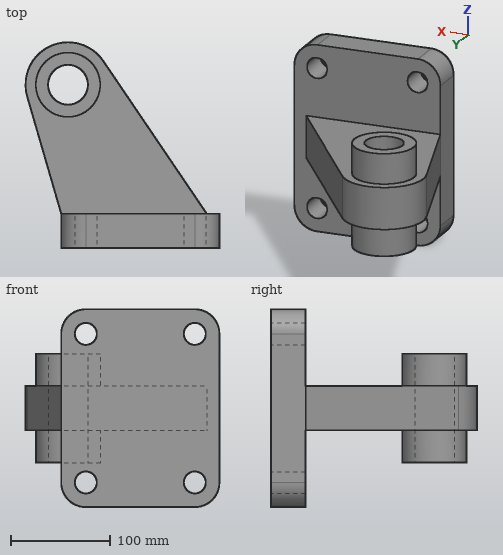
import math

import cadquery as cq

plate_width = 160.0
plate_height = 200.0
plate_thickness = 35.0
corner_radius = 25.0
bolt_hole_diameter = 22.0
bolt_inset = corner_radius

pivot_x = 7.0
pivot_y = 165.0
boss_diameter = 65.0
boss_length = 110.0
bore_diameter = 40.0

arm_thickness = 45.0
eye_radius = 43.0
arm_root_left = 0.0
arm_root_right = 147.0


def tangent_point(root_x, side):
    """Point where the line from the arm root touches the eye (side -1: left, +1: right)."""
    run = root_x - pivot_x
    drop = plate_thickness - pivot_y
    distance = math.hypot(run, drop)
    angle = math.atan2(drop, run) + side * math.acos(eye_radius / distance)
    return (pivot_x + eye_radius * math.cos(angle), pivot_y + eye_radius * math.sin(angle))


def make_plate():
    plate = (
        cq.Workplane("XZ")
        .center(plate_width / 2, 0)
        .rect(plate_width, plate_height)
        .extrude(-plate_thickness)
        .edges("|Y")
        .fillet(corner_radius)
    )
    bolt_holes = (
        cq.Workplane("XZ")
        .center(plate_width / 2, 0)
        .rect(plate_width - 2 * bolt_inset, plate_height - 2 * bolt_inset, forConstruction=True)
        .vertices()
        .circle(bolt_hole_diameter / 2)
        .extrude(-plate_thickness)
    )
    return plate.cut(bolt_holes)


def make_arm():
    return (
        cq.Workplane("XY")
        .workplane(offset=-arm_thickness / 2)
        .moveTo(arm_root_left, plate_thickness)
        .lineTo(arm_root_right, plate_thickness)
        .lineTo(*tangent_point(arm_root_right, 1))
        .threePointArc((pivot_x, pivot_y + eye_radius), tangent_point(arm_root_left, -1))
        .close()
        .extrude(arm_thickness)
    )


def pivot_cylinder(diameter):
    """Cylinder on the pivot axis, as long as the boss."""
    return (
        cq.Workplane("XY")
        .workplane(offset=-boss_length / 2)
        .center(pivot_x, pivot_y)
        .circle(diameter / 2)
        .extrude(boss_length)
    )


result = make_plate().union(make_arm()).union(pivot_cylinder(boss_diameter)).cut(pivot_cylinder(bore_diameter))